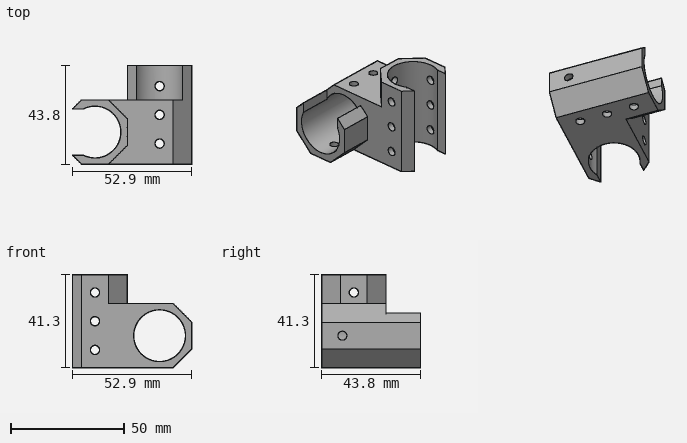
import cadquery as cq
import math

octagon_width = 28.55
bore_diameter = 22.8
mouth_width = 20.3
upright_height = 41.25
crossbar_length = 43.8
total_length = 52.9
hole_diameter = 3.95
hole_pitch = 12.7
upright_hole_base = 8.0
crossbar_hole_base = 9.2

half_width = octagon_width / 2
corner_cut = octagon_width / (2 + math.sqrt(2))
lip_cut = (octagon_width - mouth_width) / 2
tip_setback = corner_cut - lip_cut
upright_x = half_width - tip_setback
crossbar_x = total_length - half_width
upright_hole_heights = [upright_hole_base + i * hole_pitch for i in range(3)]
crossbar_hole_depths = [crossbar_hole_base + i * hole_pitch for i in range(3)]


def octagonal_bar(length):
    """Regular octagonal bar along Z, centred on the Z axis."""
    return (
        cq.Workplane("XY")
        .rect(octagon_width, octagon_width)
        .extrude(length)
        .edges("|Z")
        .chamfer(corner_cut)
    )


def box_between(low, high):
    """Axis-aligned box spanning two opposite corners."""
    size = [b - a for a, b in zip(low, high)]
    return cq.Workplane("XY").box(*size, centered=False).translate(low)


def cylinder(diameter, length, start, direction):
    """Solid cylinder from a start point along a direction."""
    return cq.Workplane(
        cq.Solid.makeCylinder(diameter / 2, length, cq.Vector(*start), cq.Vector(*direction))
    )


upright = octagonal_bar(upright_height).translate((upright_x, half_width, 0))

crossbar = (
    octagonal_bar(crossbar_length)
    .rotate((0, 0, 0), (1, 0, 0), -90)
    .translate((crossbar_x, 0, half_width))
)

web = box_between((upright_x, 0, 0), (crossbar_x, octagon_width, octagon_width))
body = upright.union(crossbar).union(web)

body = body.cut(cylinder(bore_diameter, upright_height, (upright_x, half_width, 0), (0, 0, 1)))
body = body.cut(cylinder(bore_diameter, crossbar_length, (crossbar_x, 0, half_width), (0, 1, 0)))

body = body.cut(
    box_between(
        (-octagon_width, half_width - mouth_width / 2, 0),
        (upright_x, half_width + mouth_width / 2, upright_height),
    )
)

body = body.cut(
    box_between(
        (crossbar_x - mouth_width / 2, octagon_width, half_width),
        (crossbar_x + mouth_width / 2, crossbar_length, upright_height),
    )
)

for height in upright_hole_heights:
    body = body.cut(cylinder(hole_diameter, octagon_width, (upright_x, 0, height), (0, 1, 0)))

for depth in crossbar_hole_depths:
    body = body.cut(cylinder(hole_diameter, octagon_width, (crossbar_x, depth, 0), (0, 0, 1)))

body = body.cut(
    cylinder(hole_diameter, octagon_width, (upright_x, half_width, upright_hole_heights[-1]), (1, 0, 0))
)

body = body.cut(
    cylinder(hole_diameter, octagon_width, (crossbar_x, crossbar_hole_depths[0], half_width), (1, 0, 0))
)

result = body